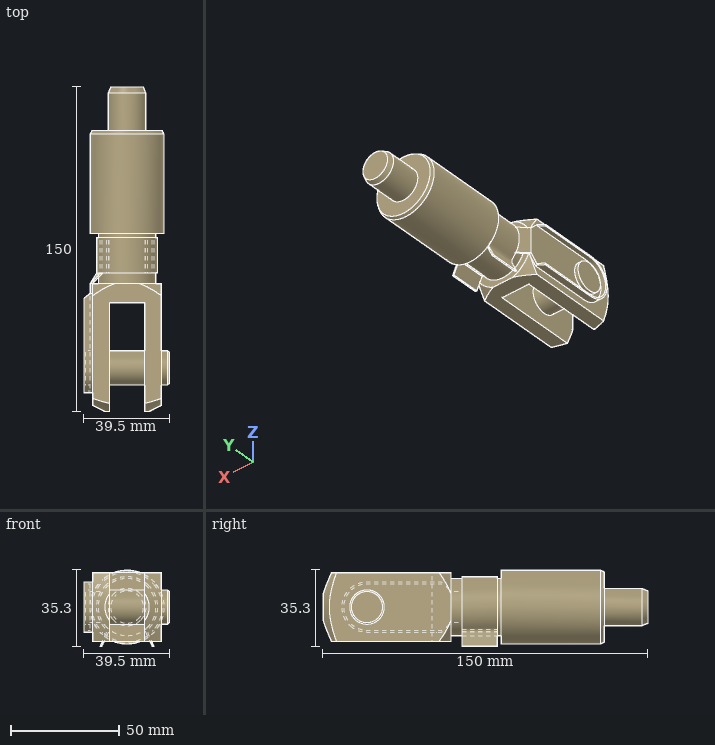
import cadquery as cq
import math


fork_width = 31.8
fork_half = fork_width / 2
slot_width = 16.2
fork_tip_y = -20.2
fork_base_y = 38.8
slot_floor_y = 30.0
tip_flat_radius = 10.2
tip_cone_slope = 0.5
base_flat_radius = 17.0
corner_radius = 23.2

neck_radius = 13.28
barrel_radius = 17.1
barrel_start_y = 62.0
barrel_end_y = 109.6
barrel_chamfer = 1.8
barrel_chamfer_depth = 0.9
stud_radius = 8.7
stud_end_y = fork_tip_y + 150
stud_chamfer = 2.8
stud_chamfer_depth = 1.2

pin_radius = 8.0
pin_end_x = 19.5
pin_chamfer = 0.8
pin_head_x = -19.2

rim_outer_x = -20.0
rim_radius = 11.62
rim_thickness = 0.9
plate_thickness = 1.2
plate_outer_x = -fork_half - plate_thickness
rim_slope_start_y = 32.1
rim_end_y = 34.4
bridge_half_width = 7.2
band_radius = 14.1
band_start_y = 43.8
band_end_y = 60.2
band_length = band_end_y - band_start_y
tab_root_z = -10.8
tab_tip_x = 12.5
tab_tip_z = -18.2
tab_thickness = 0.9
bend_radius = 2.2


def y_cylinder(radius, start_y, end_y):
    """Cylinder on the rod axis."""
    return cq.Workplane("XZ", origin=(0, start_y, 0)).circle(radius).extrude(start_y - end_y)


def x_cylinder(radius, start_x, end_x):
    """Cylinder on the pin axis."""
    return cq.Workplane("YZ", origin=(start_x, 0, 0)).circle(radius).extrude(end_x - start_x)


def make_fork():
    length = fork_base_y - fork_tip_y
    block = cq.Workplane("XY").box(fork_width, length, fork_width)
    block = block.translate((0, (fork_base_y + fork_tip_y) / 2, 0))
    tip_edge_y = fork_tip_y + tip_cone_slope * (corner_radius - tip_flat_radius)
    base_edge_y = fork_base_y - (corner_radius - base_flat_radius)
    envelope = (
        cq.Workplane("XY")
        .moveTo(0, fork_tip_y)
        .lineTo(tip_flat_radius, fork_tip_y)
        .lineTo(corner_radius, tip_edge_y)
        .lineTo(corner_radius, base_edge_y)
        .lineTo(base_flat_radius, fork_base_y)
        .lineTo(0, fork_base_y)
        .close()
        .revolve(360, (0, 0, 0), (0, 1, 0))
    )
    slot_length = slot_floor_y - fork_tip_y
    slot = cq.Workplane("XY").box(slot_width, slot_length, fork_width)
    slot = slot.translate((0, (slot_floor_y + fork_tip_y) / 2, 0))
    return block.intersect(envelope).cut(slot)


def make_rod():
    return (
        cq.Workplane("XY")
        .moveTo(0, slot_floor_y)
        .lineTo(neck_radius, slot_floor_y)
        .lineTo(neck_radius, barrel_start_y)
        .lineTo(barrel_radius, barrel_start_y)
        .lineTo(barrel_radius, barrel_end_y - barrel_chamfer)
        .lineTo(barrel_radius - barrel_chamfer_depth, barrel_end_y)
        .lineTo(stud_radius, barrel_end_y)
        .lineTo(stud_radius, stud_end_y - stud_chamfer)
        .lineTo(stud_radius - stud_chamfer_depth, stud_end_y)
        .lineTo(0, stud_end_y)
        .close()
        .revolve(360, (0, 0, 0), (0, 1, 0))
    )


def make_pin():
    return x_cylinder(pin_radius, pin_head_x, pin_end_x).faces(">X").chamfer(pin_chamfer)


def rounded_strip(radius, start_x, end_x):
    """Strip along the fork side, rounded about the pin axis and square at the fork base."""
    return (
        cq.Workplane("YZ", origin=(start_x, 0, 0))
        .moveTo(fork_base_y, radius)
        .lineTo(0, radius)
        .threePointArc((-radius, 0), (0, -radius))
        .lineTo(fork_base_y, -radius)
        .close()
        .extrude(end_x - start_x)
    )


def make_rimmed_plate():
    plate = rounded_strip(rim_radius, rim_outer_x, -fork_half)
    plate = plate.cut(rounded_strip(rim_radius - rim_thickness, rim_outer_x, plate_outer_x))
    rim_end = (
        cq.Workplane("XY", origin=(0, 0, -rim_radius))
        .moveTo(rim_outer_x, rim_slope_start_y)
        .lineTo(plate_outer_x, rim_end_y)
        .lineTo(plate_outer_x, fork_base_y)
        .lineTo(rim_outer_x, fork_base_y)
        .close()
        .extrude(2 * rim_radius)
    )
    taper = (
        cq.Workplane("YZ", origin=(rim_outer_x, 0, 0))
        .moveTo(-rim_radius, rim_radius)
        .lineTo(rim_end_y, rim_radius)
        .lineTo(fork_base_y, bridge_half_width)
        .lineTo(fork_base_y, -bridge_half_width)
        .lineTo(rim_end_y, -rim_radius)
        .lineTo(-rim_radius, -rim_radius)
        .close()
        .extrude(-fork_half - rim_outer_x)
    )
    return plate.cut(rim_end).intersect(taper)


def chord_x(radius):
    """X of a circle of this radius at the edge of the bridge."""
    return -math.sqrt(radius**2 - bridge_half_width**2)


def make_bridge():
    """Sheet that passes from the flat plate to the round band."""
    return (
        cq.Workplane("XZ", origin=(0, fork_base_y, 0))
        .moveTo(plate_outer_x, -bridge_half_width)
        .lineTo(plate_outer_x, bridge_half_width)
        .lineTo(-fork_half, bridge_half_width)
        .lineTo(-fork_half, -bridge_half_width)
        .close()
        .workplane(offset=fork_base_y - band_start_y)
        .moveTo(chord_x(band_radius), -bridge_half_width)
        .threePointArc((-band_radius, 0), (chord_x(band_radius), bridge_half_width))
        .lineTo(chord_x(neck_radius), bridge_half_width)
        .threePointArc((-neck_radius, 0), (chord_x(neck_radius), -bridge_half_width))
        .close()
        .loft(ruled=True)
    )


def make_band():
    band = y_cylinder(band_radius, band_start_y, band_end_y)
    tab_root_x = math.sqrt(band_radius**2 - tab_root_z**2)
    run = tab_tip_x - tab_root_x
    drop = tab_root_z - tab_tip_z
    slant = math.hypot(run, drop)
    offset_x = tab_thickness * drop / slant
    offset_z = tab_thickness * run / slant
    opening = (
        cq.Workplane("XZ", origin=(0, band_start_y, 0))
        .rect(2 * (tab_root_x - offset_x), 2 * band_radius)
        .extrude(-band_length)
        .translate((0, 0, tab_root_z + offset_z - band_radius))
    )
    band = band.cut(opening)
    tab = (
        cq.Workplane("XZ", origin=(0, band_start_y, 0))
        .moveTo(tab_root_x, tab_root_z)
        .lineTo(tab_tip_x, tab_tip_z)
        .lineTo(tab_tip_x - offset_x, tab_tip_z)
        .lineTo(tab_root_x - offset_x, tab_root_z)
        .close()
        .extrude(-band_length)
    )
    band = band.union(tab).union(tab.mirror("YZ"))
    mid_y = (band_start_y + band_end_y) / 2
    for side in (-1, 1):
        bend_edge = cq.selectors.NearestToPointSelector((side * tab_root_x, mid_y, tab_root_z))
        band = band.edges("|Y").edges(bend_edge).fillet(bend_radius)
    return band


result = make_fork().union(make_rod()).union(make_pin())
result = result.union(make_rimmed_plate()).union(make_bridge()).union(make_band())